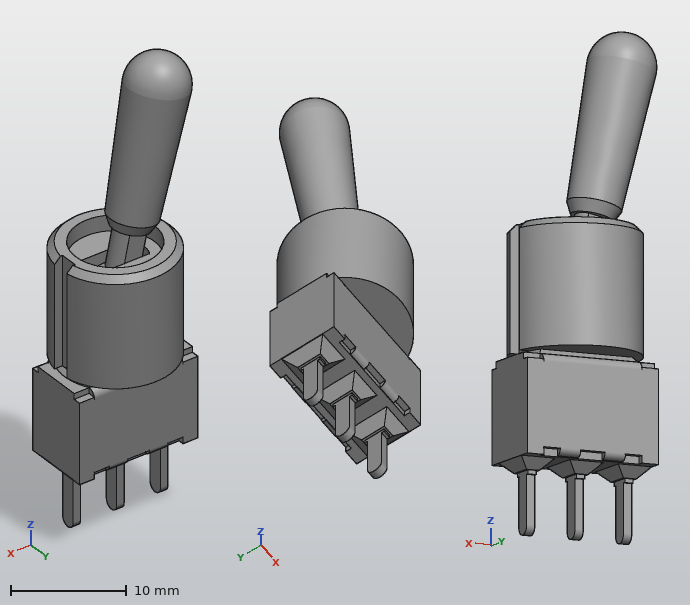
import cadquery as cq
import math


CASE_LENGTH = 12.7
CASE_WIDTH = 6.9
CASE_BOTTOM = 6.55
SHOULDER_Z = 15.0
CASE_TOP = 15.55
RAISED_WIDTH = 5.3

FRAME_LENGTH = 9.5
FRAME_BOTTOM = 7.25
FRAME_THICKNESS = 0.6
FRAME_BEND = (CASE_WIDTH - RAISED_WIDTH) / 2
TAB_WIDTH = 2.0
TAB_X = 2.15

PAD_DIAMETER = 10.85

CAP_DIAMETER = 11.85
CAP_BOTTOM = 16.05
CAP_TOP = 27.45
CAP_CHAMFER = 0.65
RECESS_DIAMETER = 8.4
RECESS_DEPTH = 1.6
SLOT_DIAMETER = 6.05
SLOT_WIDTH = 2.6
KEYWAY_WIDTH = 1.8
KEYWAY_FLOOR_X = 5.0

PIVOT_Z = 20.83
TILT = 12.0
BALL_RADIUS = 4.05
STEM_DIAMETER = 3.05
STEM_THICKNESS = 2.45
GRIP_START = 7.75
GRIP_START_RADIUS = 1.9
GRIP_LOWER = 8.8
GRIP_LOWER_RADIUS = 2.45
HEAD_CENTRE = 21.55
HEAD_RADIUS = 3.05

TERMINAL_PITCH = 4.7
PIN_THICKNESS = 0.8
PIN_WIDTH = 1.55
NECK_BOTTOM = 5.2
NECK_WIDTH = 2.05
SEAL_BOTTOM = 5.6
SEAL_BOTTOM_LENGTH = 1.25
SEAL_BOTTOM_WIDTH = 2.45


def block(length, width, bottom, top):
    """Box centred on the Z axis between two heights."""
    return cq.Workplane("XY").workplane(offset=bottom).rect(length, width).extrude(top - bottom)


def disc(diameter, bottom, top):
    """Cylinder on the Z axis between two heights."""
    return cq.Workplane("XY").workplane(offset=bottom).circle(diameter / 2).extrude(top - bottom)


def make_case():
    shoulders = block(CASE_LENGTH, CASE_WIDTH, CASE_BOTTOM, SHOULDER_Z)
    raised = block(CASE_LENGTH, RAISED_WIDTH, CASE_BOTTOM, CASE_TOP)
    middle = block(FRAME_LENGTH, CASE_WIDTH, CASE_BOTTOM, CASE_TOP)
    ends = shoulders.union(raised).cut(middle)
    middle = middle.faces(">Z").edges("|X").fillet(FRAME_BEND)
    case = ends.union(middle)

    core_width = CASE_WIDTH - 2 * FRAME_THICKNESS
    core = block(FRAME_LENGTH, core_width, CASE_BOTTOM, FRAME_BOTTOM)
    case = case.cut(block(FRAME_LENGTH, CASE_WIDTH, CASE_BOTTOM, FRAME_BOTTOM)).union(core)

    tab_places = [(x, side * core_width / 2) for x in (-TAB_X, TAB_X) for side in (-1, 1)]
    for x, y in tab_places:
        curl = (
            cq.Workplane("YZ", origin=(x - TAB_WIDTH / 2, y, FRAME_BOTTOM))
            .circle(FRAME_THICKNESS)
            .extrude(TAB_WIDTH)
        )
        case = case.union(curl)
    return case


def make_pad():
    height = CAP_BOTTOM - CASE_TOP
    base = cq.Workplane("XY").workplane(offset=CASE_TOP)
    cone = base.circle(PAD_DIAMETER / 2).extrude(height, taper=45)
    wedge = base.rect(CASE_LENGTH, RAISED_WIDTH).extrude(height, taper=45)
    return cone.intersect(wedge)


def make_cap():
    cap = disc(CAP_DIAMETER, CAP_BOTTOM, CAP_TOP).faces(">Z").chamfer(CAP_CHAMFER)
    cap = cap.cut(disc(RECESS_DIAMETER, CAP_TOP - RECESS_DEPTH, CAP_TOP))
    slot = disc(SLOT_DIAMETER, PIVOT_Z, CAP_TOP)
    slot = slot.intersect(block(SLOT_DIAMETER, SLOT_WIDTH, PIVOT_Z, CAP_TOP))
    keyway_depth = CAP_DIAMETER / 2 - KEYWAY_FLOOR_X
    keyway = block(keyway_depth, KEYWAY_WIDTH, CAP_BOTTOM, CAP_TOP)
    keyway = keyway.translate((KEYWAY_FLOOR_X + keyway_depth / 2, 0, 0))
    return cap.cut(slot).cut(keyway)


def make_lever():
    ball = cq.Workplane("XY").sphere(BALL_RADIUS)
    ball = ball.intersect(block(SLOT_DIAMETER, SLOT_WIDTH, -BALL_RADIUS, BALL_RADIUS))
    stem = disc(STEM_DIAMETER, 0, GRIP_LOWER)
    stem = stem.intersect(block(STEM_DIAMETER, STEM_THICKNESS, 0, GRIP_LOWER))
    diagonal = HEAD_RADIUS * math.sqrt(0.5)
    grip = (
        cq.Workplane("XZ")
        .moveTo(0, GRIP_START)
        .lineTo(GRIP_START_RADIUS, GRIP_START)
        .lineTo(GRIP_LOWER_RADIUS, GRIP_LOWER)
        .lineTo(HEAD_RADIUS, HEAD_CENTRE)
        .threePointArc((diagonal, HEAD_CENTRE + diagonal), (0, HEAD_CENTRE + HEAD_RADIUS))
        .close()
        .revolve(360, (0, 0, 0), (0, 1, 0))
    )
    lever = stem.union(grip).rotate((0, 0, 0), (0, 1, 0), -TILT)
    return lever.union(ball).translate((0, 0, PIVOT_Z))


def make_terminal():
    half_width = PIN_WIDTH / 2
    blade = (
        cq.Workplane("YZ")
        .moveTo(half_width, CASE_BOTTOM)
        .lineTo(half_width, half_width)
        .threePointArc((0, 0), (-half_width, half_width))
        .lineTo(-half_width, CASE_BOTTOM)
        .close()
        .extrude(PIN_THICKNESS / 2, both=True)
    )
    neck = block(PIN_THICKNESS, NECK_WIDTH, NECK_BOTTOM, CASE_BOTTOM)
    flare = 2 * (CASE_BOTTOM - SEAL_BOTTOM)
    seal = (
        cq.Workplane("XY", origin=(0, 0, SEAL_BOTTOM))
        .rect(SEAL_BOTTOM_LENGTH, SEAL_BOTTOM_WIDTH)
        .workplane(offset=CASE_BOTTOM - SEAL_BOTTOM)
        .rect(SEAL_BOTTOM_LENGTH + flare, SEAL_BOTTOM_WIDTH + flare)
        .loft(ruled=True)
    )
    return blade.union(neck).union(seal)


result = make_case().union(make_pad()).union(make_cap()).union(make_lever())
for position in (-1, 0, 1):
    result = result.union(make_terminal().translate((position * TERMINAL_PITCH, 0, 0)))